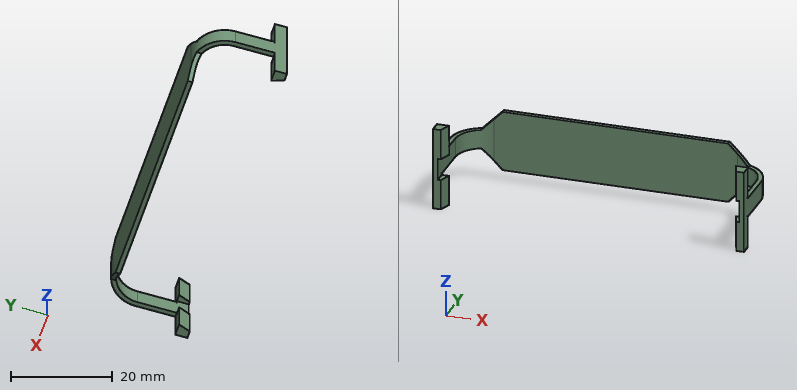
import cadquery as cq
import math

length = 64.39
depth = 17.65
bar_height = 17.15

thickness = 1.0
bend_radius = 7.0
plate_height = 12.6
arm_height = 4.0
plate_length = 46.7

bar_depth = 2.5
bar_width = 2.5
bar_taper_angle = 20.0
slot_height = 4.5

half_length = length / 2
back_y = depth / 2
front_y = -depth / 2
bar_rear_y = front_y + bar_depth


def u_block(offset):
    """Solid filling the U profile, inset by offset from the outer faces of the strip."""
    side = half_length - offset
    return (
        cq.Workplane("XY")
        .moveTo(-side, front_y)
        .lineTo(-side, back_y - offset)
        .lineTo(side, back_y - offset)
        .lineTo(side, front_y)
        .close()
        .extrude(plate_height / 2, both=True)
        .edges("|Z and >Y")
        .fillet(bend_radius - offset)
    )


def strip_outline():
    """Block with the strip's X-Z outline: wide plate, 45 degree tapers, narrow arms."""
    half_plate = plate_length / 2
    half_arm = arm_height / 2
    taper = (plate_height - arm_height) / 2
    right_upper = [
        (half_plate, plate_height / 2),
        (half_plate + taper, half_arm),
        (half_length, half_arm),
    ]
    right_lower = [(x, -z) for x, z in reversed(right_upper)]
    right = right_upper + right_lower
    left = [(-x, z) for x, z in reversed(right)]
    return cq.Workplane("XZ").polyline(right + left).close().extrude(depth / 2, both=True)


def left_foot_bar():
    """Upright bar with a sloped inner face and a slot beside the arm."""
    front_width = bar_width - bar_depth * math.tan(math.radians(bar_taper_angle))
    bar = (
        cq.Workplane("XY")
        .polyline(
            [
                (-half_length, bar_rear_y),
                (-half_length + bar_width, bar_rear_y),
                (-half_length + front_width, front_y),
                (-half_length, front_y),
            ]
        )
        .close()
        .extrude(bar_height / 2, both=True)
    )
    slot = (
        cq.Workplane("XY")
        .box(bar_width, bar_depth, slot_height, centered=(False, False, True))
        .translate((-half_length + thickness, front_y, 0))
    )
    return bar.cut(slot)


strip = u_block(0).cut(u_block(thickness)).intersect(strip_outline())
left_bar = left_foot_bar()
right_bar = left_bar.mirror("YZ")

result = strip.union(left_bar).union(right_bar)